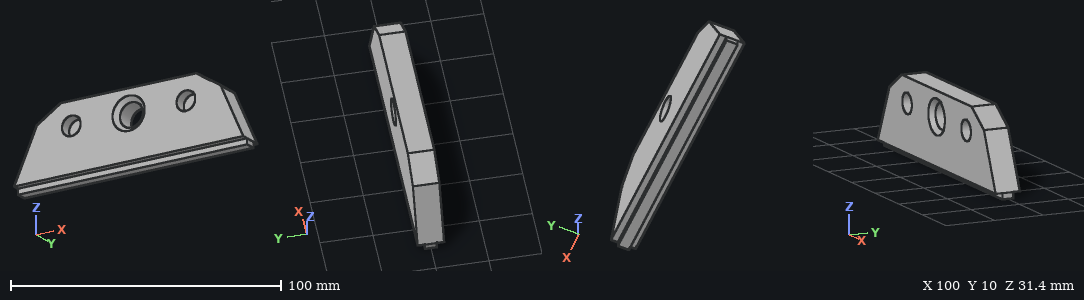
import cadquery as cq

length = 100.0
thickness = 10.0
plate_height = 29.0
shoulder_height = 22.2
shoulder_inset = 9.9
top_inset = 20.4

tongue_height = 2.4
tongue_width = 4.5

hole_height = 19.0
center_hole_diameter = 10.0
countersink_diameter = 14.0
countersink_angle = 90.0
side_hole_diameter = 8.1
side_hole_depth = 5.0
side_hole_spacing = length / 2


def make_plate():
    half = length / 2
    right_side = [
        (half, 0),
        (half - shoulder_inset, shoulder_height),
        (half - top_inset, plate_height),
    ]
    left_side = [(-x, z) for x, z in reversed(right_side)]
    outline = cq.Workplane("XZ").polyline(right_side + left_side).close()
    return outline.extrude(thickness / 2, both=True)


def make_tongue():
    tongue = cq.Workplane("XY").rect(length, tongue_width)
    return tongue.extrude(-tongue_height)


def front_face():
    return cq.Workplane("XZ", origin=(0, -thickness / 2, hole_height))


def cut_center_hole(body):
    plane = body.copyWorkplane(front_face()).pushPoints([(0, 0)])
    return plane.cskHole(center_hole_diameter, countersink_diameter, countersink_angle)


def cut_side_holes(body):
    centers = [(side * side_hole_spacing / 2, 0) for side in (-1, 1)]
    plane = body.copyWorkplane(front_face()).pushPoints(centers)
    return plane.hole(side_hole_diameter, side_hole_depth)


result = make_plate().union(make_tongue())
result = cut_center_hole(result)
result = cut_side_holes(result)